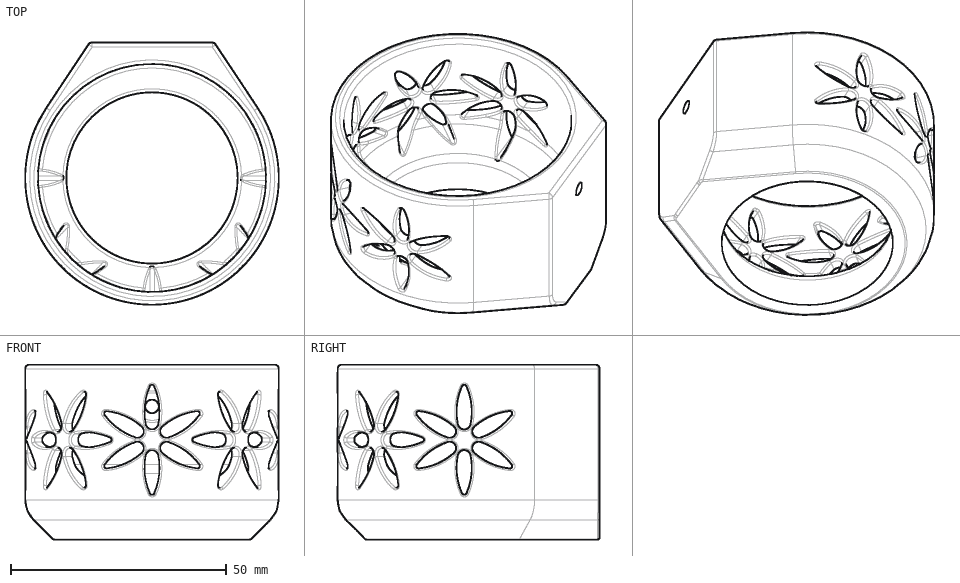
import math

import cadquery as cq

outer_radius = 29.5
height = 40.74
back_y = 31.5
edge_round = 1.0

flank_angle = math.radians(33.55)
tangent_x = outer_radius * math.cos(flank_angle)
tangent_y = outer_radius * math.sin(flank_angle)
back_half_width = tangent_x - (back_y - tangent_y) * math.tan(flank_angle)

foot_chamfer = 6.55
foot_blend = 6.6
foot_round = 0.6

wall = 3.0
bore_radius = outer_radius - wall
opening_radius = 19.9
funnel_top_z = 16.3
funnel_bottom_z = funnel_top_z - (bore_radius - opening_radius)
funnel_blend = 3.0
opening_blend = 3.0

screw_z = 31.0
screw_radius = 1.55
countersink_radius = 3.4
countersink_round = 0.7

flower_z = 23.25
flower_angles = (-90, -45, 0, 45, 90)
petal_count = 6
petal_pitch = 360 / petal_count
petal_shoulder = 3.6
petal_widest = 6.5
petal_tip = 12.45
shoulder_half_width = 1.45
widest_half_width = 1.75
tip_half_width = 0.5
petal_round = 0.45
rim_min_rise = 0.05

tolerance = 0.01


def edges_at_height(z, largest_y):
    """Selector for the edges whose centres are at this height and not beyond largest_y."""
    reach = 2 * outer_radius
    return cq.selectors.BoxSelector(
        (-reach, -reach, z - tolerance),
        (reach, largest_y, z + tolerance),
    )


def make_body():
    """Round body and mounting block, with the chamfered and blended foot."""
    body = (
        cq.Workplane("XY")
        .moveTo(tangent_x, tangent_y)
        .lineTo(back_half_width, back_y)
        .lineTo(-back_half_width, back_y)
        .lineTo(-tangent_x, tangent_y)
        .threePointArc((0, -outer_radius), (tangent_x, tangent_y))
        .close()
        .extrude(height)
    )
    body = body.faces("<Z").edges("not >Y").chamfer(foot_chamfer)
    chamfer_top = edges_at_height(foot_chamfer, back_y - tolerance)
    body = body.edges(chamfer_top).fillet(foot_blend)
    body = body.edges("(>Z or >Y) and (not <Z)").fillet(edge_round)
    return body.faces("<Z").edges().fillet(foot_round)


def make_cavity():
    """Bore with a rounded mouth, funnel floor and central opening."""
    profile = (
        cq.Workplane("XZ")
        .lineTo(opening_radius, 0)
        .lineTo(opening_radius, funnel_bottom_z)
        .lineTo(bore_radius, funnel_top_z)
        .lineTo(bore_radius, height - edge_round)
        .radiusArc((bore_radius + edge_round, height), edge_round)
        .lineTo(0, height)
        .close()
    )
    cavity = profile.revolve(360, (0, 0), (0, 1))
    cavity = cavity.edges(edges_at_height(funnel_top_z, tolerance)).fillet(funnel_blend)
    return cavity.edges(edges_at_height(funnel_bottom_z, tolerance)).fillet(opening_blend)


def cut_screw_hole(holder):
    """Cut a hole along Y with a countersink that opens into the bore with a rounded edge."""
    cone_tip_y = bore_radius + countersink_radius
    cone_start_y = bore_radius - countersink_radius
    hole = (
        cq.Workplane("XY")
        .moveTo(0, cone_start_y)
        .lineTo(cone_tip_y - cone_start_y, cone_start_y)
        .lineTo(screw_radius, cone_tip_y - screw_radius)
        .lineTo(screw_radius, back_y)
        .lineTo(0, back_y)
        .close()
        .revolve(360, (0, 0), (0, 1))
        .translate((0, 0, screw_z))
    )
    mouth = cq.selectors.BoxSelector(
        (-countersink_radius, cone_start_y, screw_z - countersink_radius),
        (countersink_radius, bore_radius, screw_z + countersink_radius),
    )
    return holder.cut(hole).edges(mouth).fillet(countersink_round)


def make_flower():
    """Cutter with all petals of one flower, reaching from the axis outwards along -Y."""
    petal = (
        cq.Workplane("XZ")
        .moveTo(-shoulder_half_width, petal_shoulder)
        .threePointArc((-widest_half_width, petal_widest), (-tip_half_width, petal_tip))
        .tangentArcPoint((tip_half_width, petal_tip), relative=False)
        .threePointArc((widest_half_width, petal_widest), (shoulder_half_width, petal_shoulder))
        .tangentArcPoint((-shoulder_half_width, petal_shoulder), relative=False)
        .close()
        .extrude(2 * outer_radius)
    )
    flower = cq.Workplane("XY")
    for i in range(petal_count):
        turned = petal.rotate((0, 0, 0), (0, 1, 0), i * petal_pitch)
        flower = flower.add(turned)
    return flower.combine()


def is_petal_rim(edge):
    """True for the edges of the petals on the outer wall and on the inner faces."""
    box = edge.BoundingBox()
    in_flower_band = abs(edge.Center().z - flower_z) < petal_tip + petal_round
    is_horizontal = box.zmax - box.zmin < rim_min_rise
    is_straight = edge.geomType() == "LINE"
    return in_flower_band and not is_horizontal and not is_straight


def cut_flowers(holder):
    """Cut all flowers and round the petal edges on both sides of the wall.

    Every other flower is turned by half a petal pitch, so that neighbours fit together.
    """
    flower = make_flower()
    for i, angle in enumerate(flower_angles):
        turned = flower.rotate((0, 0, 0), (0, 1, 0), i % 2 * petal_pitch / 2)
        placed = turned.translate((0, 0, flower_z)).rotate((0, 0, 0), (0, 0, 1), angle)
        holder = holder.cut(placed)
    return holder.edges().filter(is_petal_rim).fillet(petal_round)


holder = make_body().cut(make_cavity())
holder = cut_flowers(holder)
result = cut_screw_hole(holder).solids()